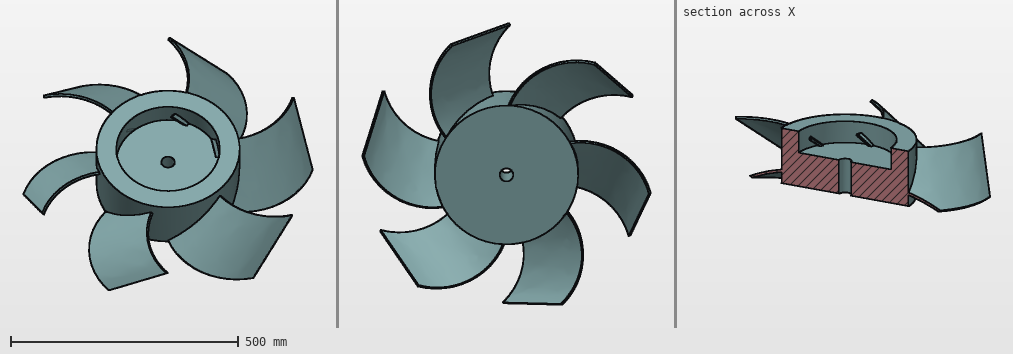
import cadquery as cq
import math

hub_diameter = 315.0
hub_height = 130.0
pocket_diameter = 227.5
pocket_depth = 50.0
bore_diameter = 29.0

blade_count = 6
blade_thickness = 6.0
arc_radius = 161.5
arc_center_x = 165.0
arc_center_y = 170.5
tip_angle = -30.0
root_angle = -113.0
rake_x = 13.0
rake_y = -129.0
blade_top = 105.5
blade_bottom = 4.6

protruding_blade_count = 3


def arc_point(angle, z):
    """Point of the blade's upper arc at an angle in degrees."""
    turn = math.radians(angle)
    return cq.Vector(
        arc_center_x + arc_radius * math.cos(turn),
        arc_center_y + arc_radius * math.sin(turn),
        z,
    )


def make_blade(index):
    middle_angle = (root_angle + tip_angle) / 2
    upper_edge = cq.Edge.makeThreePointArc(
        arc_point(root_angle, blade_top),
        arc_point(middle_angle, blade_top),
        arc_point(tip_angle, blade_top),
    )
    rake = cq.Vector(rake_x, rake_y, blade_bottom - blade_top)
    lower_edge = upper_edge.translate(rake)
    surface = cq.Face.makeRuledSurface(upper_edge, lower_edge)
    blade = cq.Workplane(surface.thicken(blade_thickness))
    return blade.rotate((0, 0, 0), (0, 0, 1), index * 360 / blade_count)


def make_pocket():
    floor = cq.Workplane("XY").workplane(offset=hub_height - pocket_depth)
    return floor.circle(pocket_diameter / 2).extrude(pocket_depth)


def make_hub():
    body = cq.Workplane("XY").circle(hub_diameter / 2).extrude(hub_height)
    bore = cq.Workplane("XY").circle(bore_diameter / 2).extrude(hub_height)
    return body.cut(make_pocket()).cut(bore)


result = make_hub()
for index in range(blade_count):
    blade = make_blade(index)
    if index >= protruding_blade_count:
        blade = blade.cut(make_pocket())
    result = result.union(blade)